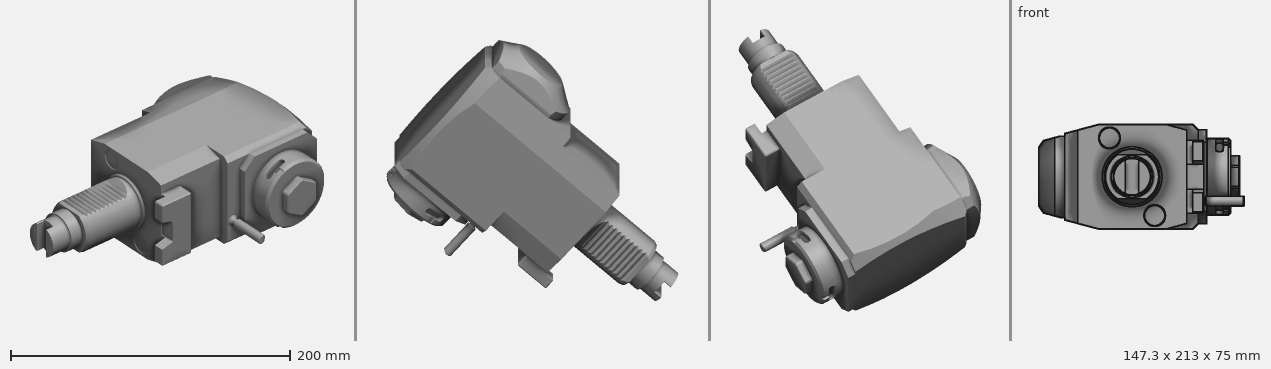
import cadquery as cq
import math


HALF_HEIGHT = 37.5
CREASE_X = 24.0
SIDE_SLOPE = math.tan(math.radians(15))
NECK_HALF_WIDTH = 39.0
NECK_LENGTH = 55.0
HEAD_LEFT_X = -48.2
HEAD_RIGHT_X = 47.5
HEAD_EDGE_CHAMFER = 4.0
BACK_Y = 134.0
BACK_CORNER_X = 3.2
BACK_CORNER_Y = 2.8
CROWN_CENTER = (10.0, 5.0)
CROWN_RADIUS = 125.0
PLUG_CENTER = (-16.2, 27.8)
PLUG_RADIUS = 7.75
PLUG_RECESS = 0.6
PLUG_TAPER = 40.0

SPINDLE_Y = 100.0
PLATE_HALF_SIZE = 33.8
PLATE_CORNER = 9.2
PLATE_END_X = 53.4
NUT_END_X = 70.7
NUT_RADIUS = 27.5
NUT_CHAMFER = 1.8
NUT_SLOT_COUNT = 3
NUT_SLOT_FIRST_ANGLE = 30.0
NUT_SLOT_X = 62.6
NUT_SLOT_WIDTH = 5.6
NUT_SLOT_LENGTH = 18.5
NUT_SLOT_FLOOR_RADIUS = 22.5
NUT_NECK_WIDTH = 4.6
NUT_NECK_FLOOR_RADIUS = 25.6
NUT_RELIEF_RADIUS = 26.8
NUT_RELIEF_WIDTH = 0.6
HEX_END_X = 77.1
HEX_ACROSS_FLATS = 27.0
HEX_CORNER_RADIUS = 15.15
HEX_END_CHAMFER = 0.6

CAP_END_X = -66.93
CAP_CONE_START_X = -55.3
CAP_RADIUS = 37.5
CAP_FACE_RADIUS = 21.0
CAP_BACK_Y = 130.0
CAP_HALF_HEIGHT = 29.2
CAP_CREASE_X = -51.3
CAP_CORNER = 6.6

PIPE_Y = 60.1
PIPE_Z = -17.4
PIPE_END_X = 80.4
PIPE_RADIUS = 3.6
PIPE_NECK_RADIUS = 2.3
PIPE_SEAT_RADIUS = 4.4
PIPE_SEAT_LENGTH = 2.0
PIPE_BODY_X = 53.0
PIPE_SHOULDER = 0.8
PIPE_TIP_CHAMFER = 0.6
PIPE_TIP_CUT_X = 1.5
PIPE_TIP_CUT_Y = 3.0

BLOCK_END_X = 51.4
BLOCK_HALF_HEIGHT = 26.0
BLOCK_TOP_Y = 18.2
BLOCK_TIP_Y = -9.2
BLOCK_CHAMFER = 0.8
LEG_START_X = 43.3
LEG_STEP_Y = 0.4
LEG_GAP_Y = 1.0
LEG_ROOT_Z = 8.8
LEG_TIP_Z = 11.6

FLANGE_RADIUS = 21.5
FLANGE_LENGTH = 2.4
FLANGE_ROUND = 1.0
SHANK_RELIEF_RADIUS = 19.85
SHANK_RELIEF_END_Y = -3.85
SHANK_RADIUS = 20.0
SHANK_END_Y = -53.2
SHANK_TAPER_LENGTH = 2.8
SHANK_TAPER = 1.0
FLAT_Z = 15.7
FLAT_START_Y = -5.0
TOOTH_COUNT = 10
TOOTH_PITCH = 4.0
TOOTH_FIRST_Y = -11.8
TOOTH_DEPTH = 1.4
TOOTH_HALF_WIDTH = 1.7
COLLAR_RADIUS = 15.0
COLLAR_END_Y = -63.4
COLLAR_RELIEF_RADIUS = 14.2
COLLAR_RELIEF_LENGTH = 0.7
SCREW_Y = -58.5
SCREW_RADIUS = 2.9
SCREW_DEPTH = 1.0
SCREW_SOCKET_RADIUS = 1.5
SCREW_SOCKET_DEPTH = 2.5
DRIVE_RADIUS = 13.1
DRIVE_ROOT_CHAMFER = 0.6
DRIVE_END_Y = -79.0
DRIVE_SLOT_WIDTH = 9.8
DRIVE_SLOT_CHAMFER = 0.6
DRIVE_SLOT_DEPTH = 6.5


def prism_along_y(points, y_start, y_end):
    """Extrude an (X, Z) outline from y_start to y_end."""
    plane = cq.Plane(origin=(0, y_start, 0), xDir=(1, 0, 0), normal=(0, -1, 0))
    return cq.Workplane(plane).polyline(points).close().extrude(y_start - y_end)


def box_between(x_range, y_range, z_range):
    sizes = [high - low for low, high in (x_range, y_range, z_range)]
    corner = (x_range[0], y_range[0], z_range[0])
    return cq.Workplane("XY").box(*sizes, centered=False).translate(corner)


def mirrored_in_z(points):
    """Close an upper outline with its own mirror image below Z = 0."""
    return points + [(x, -z) for x, z in reversed(points)]


def turned_along_x(profile, axis_y, axis_z=0.0):
    """Revolve an (X, radius) profile about a line parallel to X."""
    solid = cq.Workplane("XY").polyline(profile).close().revolve(360, (0, 0, 0), (1, 0, 0))
    return solid.translate((0, axis_y, axis_z))


def side_height(x):
    """Half height of the housing on its sloping sides."""
    return HALF_HEIGHT - (abs(x) - CREASE_X) * SIDE_SLOPE


def make_housing():
    neck_edge = side_height(NECK_HALF_WIDTH)
    neck_top = [
        (-NECK_HALF_WIDTH, neck_edge),
        (-CREASE_X, HALF_HEIGHT),
        (CREASE_X, HALF_HEIGHT),
        (NECK_HALF_WIDTH, neck_edge),
    ]
    neck = prism_along_y(mirrored_in_z(neck_top), 0, NECK_LENGTH)

    head_top = [
        (HEAD_LEFT_X, side_height(HEAD_LEFT_X)),
        (-CREASE_X, HALF_HEIGHT),
        (HEAD_RIGHT_X - HEAD_EDGE_CHAMFER, HALF_HEIGHT),
        (HEAD_RIGHT_X, HALF_HEIGHT - HEAD_EDGE_CHAMFER),
    ]
    head = prism_along_y(mirrored_in_z(head_top), NECK_LENGTH, BACK_Y)

    back_corner = [
        (HEAD_LEFT_X, BACK_Y),
        (HEAD_LEFT_X + BACK_CORNER_X, BACK_Y),
        (HEAD_LEFT_X, BACK_Y - BACK_CORNER_Y),
    ]
    corner_cut = cq.Workplane("XY").polyline(back_corner).close().extrude(HALF_HEIGHT, both=True)
    return neck.union(head.cut(corner_cut).intersect(make_crown()))


def make_crown():
    """Double 45 degree cone about a Z axis that bevels the back edges of the head."""
    profile = [
        (0, -HALF_HEIGHT),
        (CROWN_RADIUS, -HALF_HEIGHT),
        (CROWN_RADIUS + HALF_HEIGHT, 0),
        (CROWN_RADIUS, HALF_HEIGHT),
        (0, HALF_HEIGHT),
    ]
    cone = cq.Workplane("XZ").polyline(profile).close().revolve(360, (0, 0, 0), (0, 1, 0))
    return cone.translate((*CROWN_CENTER, 0))


def make_plug_recesses():
    x, z = PLUG_CENTER
    centers = [(x, z), (-x, -z)]
    return cq.Workplane("XZ").pushPoints(centers).circle(PLUG_RADIUS).extrude(-PLUG_RECESS, taper=PLUG_TAPER)


def make_cap():
    turned = turned_along_x(
        [
            (HEAD_LEFT_X, 0),
            (HEAD_LEFT_X, CAP_RADIUS),
            (CAP_CONE_START_X, CAP_RADIUS),
            (CAP_END_X, CAP_FACE_RADIUS),
            (CAP_END_X, 0),
        ],
        SPINDLE_Y,
    )
    end_height = CAP_HALF_HEIGHT - (CAP_CREASE_X - CAP_END_X) * SIDE_SLOPE
    upper = [
        (CAP_END_X, end_height),
        (CAP_CREASE_X, CAP_HALF_HEIGHT),
        (HEAD_LEFT_X, CAP_HALF_HEIGHT),
    ]
    limits = prism_along_y(mirrored_in_z(upper), SPINDLE_Y - CAP_RADIUS, CAP_BACK_Y)

    corner_z = CAP_HALF_HEIGHT - CAP_CORNER
    end_view = [
        (SPINDLE_Y - CAP_RADIUS, CAP_HALF_HEIGHT),
        (CAP_BACK_Y - CAP_CORNER, CAP_HALF_HEIGHT),
        (CAP_BACK_Y, corner_z),
    ]
    bevels = cq.Workplane("YZ", origin=(CAP_END_X, 0, 0)).polyline(mirrored_in_z(end_view)).close()
    return turned.intersect(limits).intersect(bevels.extrude(HEAD_LEFT_X - CAP_END_X))


def make_plate():
    plate = cq.Workplane("YZ", origin=(HEAD_RIGHT_X, SPINDLE_Y, 0))
    plate = plate.rect(2 * PLATE_HALF_SIZE, 2 * PLATE_HALF_SIZE).extrude(PLATE_END_X - HEAD_RIGHT_X)
    return plate.edges("|X").chamfer(PLATE_CORNER)


def make_nut():
    nut = turned_along_x(
        [
            (PLATE_END_X, 0),
            (PLATE_END_X, NUT_RELIEF_RADIUS),
            (PLATE_END_X + NUT_RELIEF_WIDTH, NUT_RELIEF_RADIUS),
            (PLATE_END_X + NUT_RELIEF_WIDTH, NUT_RADIUS),
            (NUT_END_X - NUT_CHAMFER, NUT_RADIUS),
            (NUT_END_X, NUT_RADIUS - NUT_CHAMFER),
            (NUT_END_X, 0),
        ],
        SPINDLE_Y,
    )
    for index in range(NUT_SLOT_COUNT):
        angle = NUT_SLOT_FIRST_ANGLE + index * 360 / NUT_SLOT_COUNT
        nut = nut.cut(make_nut_slot(angle))
    return nut


def make_nut_slot(angle):
    """Key slot with an opening to the nut face, turned from +Z toward -Y by angle."""
    depth = NUT_RADIUS - NUT_SLOT_FLOOR_RADIUS
    floor = cq.Workplane("XY", origin=(0, 0, NUT_SLOT_FLOOR_RADIUS))
    slot = floor.center(NUT_SLOT_X, 0).slot2D(NUT_SLOT_LENGTH, NUT_SLOT_WIDTH, 90).extrude(depth)
    neck = box_between(
        (NUT_SLOT_X, NUT_END_X),
        (-NUT_NECK_WIDTH / 2, NUT_NECK_WIDTH / 2),
        (NUT_NECK_FLOOR_RADIUS, NUT_RADIUS),
    )
    slot = slot.union(neck).rotate((0, 0, 0), (1, 0, 0), angle)
    return slot.translate((0, SPINDLE_Y, 0))


def make_hex():
    """Hexagonal spindle end with two corners on the Z direction and rounded corners."""
    corner_diameter = HEX_ACROSS_FLATS / math.cos(math.radians(30))
    length = HEX_END_X - NUT_END_X
    plane = cq.Workplane("YZ", origin=(NUT_END_X, 0, 0))
    prism = plane.polygon(6, corner_diameter).extrude(length)
    prism = prism.rotate((0, 0, 0), (1, 0, 0), 90)
    prism = prism.intersect(plane.circle(HEX_CORNER_RADIUS).extrude(length))
    return prism.faces(">X").chamfer(HEX_END_CHAMFER).translate((0, SPINDLE_Y, 0))


def make_pipe():
    seat_end = HEAD_RIGHT_X + PIPE_SEAT_LENGTH
    pipe = turned_along_x(
        [
            (HEAD_RIGHT_X, 0),
            (HEAD_RIGHT_X, PIPE_SEAT_RADIUS),
            (seat_end, PIPE_NECK_RADIUS),
            (PIPE_BODY_X - PIPE_SHOULDER, PIPE_NECK_RADIUS),
            (PIPE_BODY_X, PIPE_RADIUS),
            (PIPE_END_X - PIPE_TIP_CHAMFER, PIPE_RADIUS),
            (PIPE_END_X, PIPE_RADIUS - PIPE_TIP_CHAMFER),
            (PIPE_END_X, 0),
        ],
        PIPE_Y,
        PIPE_Z,
    )
    tip_y = PIPE_Y + PIPE_RADIUS
    tip = [
        (PIPE_END_X - PIPE_TIP_CUT_X, tip_y),
        (PIPE_END_X, tip_y),
        (PIPE_END_X, tip_y - PIPE_TIP_CUT_Y),
    ]
    tip_plane = cq.Workplane("XY", origin=(0, 0, PIPE_Z))
    return pipe.cut(tip_plane.polyline(tip).close().extrude(PIPE_RADIUS, both=True))


def make_locating_block():
    block = box_between(
        (NECK_HALF_WIDTH, BLOCK_END_X),
        (BLOCK_TIP_Y, BLOCK_TOP_Y),
        (-BLOCK_HALF_HEIGHT, BLOCK_HALF_HEIGHT),
    )
    block = block.faces(">X or >Y or <Y").edges("not(<X)").chamfer(BLOCK_CHAMFER)
    under_housing = box_between(
        (NECK_HALF_WIDTH, LEG_START_X),
        (BLOCK_TIP_Y, LEG_STEP_Y),
        (-BLOCK_HALF_HEIGHT, BLOCK_HALF_HEIGHT),
    )
    gap = [(LEG_GAP_Y, LEG_ROOT_Z), (BLOCK_TIP_Y, LEG_TIP_Z)]
    plane = cq.Workplane("YZ", origin=(NECK_HALF_WIDTH, 0, 0))
    between_legs = plane.polyline(mirrored_in_z(gap)).close().extrude(BLOCK_END_X - NECK_HALF_WIDTH)
    return block.cut(under_housing).cut(between_legs)


def make_shank():
    profile = [
        (0, 0),
        (FLANGE_RADIUS, 0),
        (FLANGE_RADIUS, -FLANGE_LENGTH),
        (SHANK_RELIEF_RADIUS, -FLANGE_LENGTH),
        (SHANK_RELIEF_RADIUS, SHANK_RELIEF_END_Y),
        (SHANK_RADIUS, SHANK_RELIEF_END_Y),
        (SHANK_RADIUS, SHANK_END_Y + SHANK_TAPER_LENGTH),
        (SHANK_RADIUS - SHANK_TAPER, SHANK_END_Y),
        (0, SHANK_END_Y),
    ]
    shank = cq.Workplane("XY").polyline(profile).close().revolve(360, (0, 0, 0), (0, 1, 0))
    flange_rim = cq.selectors.RadiusNthSelector(-1)
    shank = shank.edges(flange_rim).edges("<Y").fillet(FLANGE_ROUND)
    flat = make_serrated_flat()
    return shank.cut(flat).cut(flat.mirror("XY"))


def make_serrated_flat():
    """Material above the +Z flat: 45 degree run-out, then V grooves along X."""
    run_out = SHANK_RADIUS - FLAT_Z
    outline = [
        (FLAT_START_Y, SHANK_RADIUS),
        (FLAT_START_Y - run_out, FLAT_Z),
    ]
    for index in range(TOOTH_COUNT):
        valley_y = TOOTH_FIRST_Y - index * TOOTH_PITCH
        outline.append((valley_y + TOOTH_HALF_WIDTH, FLAT_Z))
        outline.append((valley_y, FLAT_Z - TOOTH_DEPTH))
        outline.append((valley_y - TOOTH_HALF_WIDTH, FLAT_Z))
    outline.append((SHANK_END_Y, FLAT_Z))
    outline.append((SHANK_END_Y, SHANK_RADIUS))
    return cq.Workplane("YZ").polyline(outline).close().extrude(SHANK_RADIUS, both=True)


def make_drive():
    """Collar and slotted drive end below the shank."""
    profile = [
        (0, SHANK_END_Y),
        (COLLAR_RELIEF_RADIUS, SHANK_END_Y),
        (COLLAR_RELIEF_RADIUS, SHANK_END_Y - COLLAR_RELIEF_LENGTH),
        (COLLAR_RADIUS, SHANK_END_Y - COLLAR_RELIEF_LENGTH),
        (COLLAR_RADIUS, COLLAR_END_Y),
        (DRIVE_RADIUS + DRIVE_ROOT_CHAMFER, COLLAR_END_Y),
        (DRIVE_RADIUS, COLLAR_END_Y - DRIVE_ROOT_CHAMFER),
        (DRIVE_RADIUS, DRIVE_END_Y),
        (0, DRIVE_END_Y),
    ]
    drive = cq.Workplane("XY").polyline(profile).close().revolve(360, (0, 0, 0), (0, 1, 0))
    slot_floor_y = DRIVE_END_Y + DRIVE_SLOT_DEPTH
    slot = box_between(
        (-DRIVE_SLOT_WIDTH / 2, DRIVE_SLOT_WIDTH / 2),
        (DRIVE_END_Y, slot_floor_y),
        (-DRIVE_RADIUS, DRIVE_RADIUS),
    )
    slot_mouth = cq.selectors.BoxSelector(
        (-DRIVE_SLOT_WIDTH, DRIVE_END_Y, -DRIVE_RADIUS),
        (DRIVE_SLOT_WIDTH, slot_floor_y, DRIVE_RADIUS),
    )
    drive = drive.cut(slot)
    drive = drive.edges("|Y").edges(slot_mouth).chamfer(DRIVE_SLOT_CHAMFER)
    screw_plane = cq.Workplane("YZ", origin=(-COLLAR_RADIUS, SCREW_Y, 0))
    screw = screw_plane.circle(SCREW_RADIUS).extrude(SCREW_DEPTH)
    socket = screw_plane.circle(SCREW_SOCKET_RADIUS).extrude(SCREW_SOCKET_DEPTH)
    return drive.cut(screw).cut(socket)


result = make_housing().cut(make_plug_recesses())
for piece in (
    make_cap(),
    make_plate(),
    make_nut(),
    make_hex(),
    make_pipe(),
    make_locating_block(),
    make_shank(),
    make_drive(),
):
    result = result.union(piece)